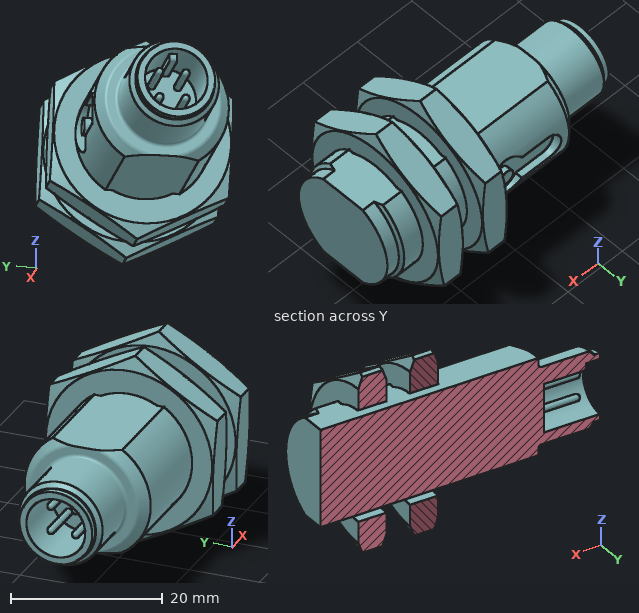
import cadquery as cq
import math

LENGTH = 43.9

PLUG_LIP_RADIUS = 10.4 / 2
PLUG_LIP_LENGTH = 1.0
PLUG_RADIUS = 12.0 / 2
PLUG_CHAMFER_RADIUS = 5.3
PLUG_CHAMFER_END = 1.65
PLUG_FILLET_RADIUS = 0.5

BARREL_START = 9.65
BARREL_RADIUS = 9.0
BARREL_FACE_RADIUS = 7.73
BARREL_EDGE_FILLET = 0.5
BARREL_CHAMFER_END = 11.0
FLAT_HALF_HEIGHT = 7.5

NOSE_RADIUS = 8.4
NOSE_START = 41.8
NOSE_CHAMFER_START = 41.4

SOCKET_RADIUS = 8.4 / 2
SOCKET_DEPTH = 8.8
KEY_WIDTH = 1.0
KEY_INNER_HEIGHT = 3.15
KEY_START = 2.2
KEY_FILLET_RADIUS = 0.5

PIN_RADIUS = 1.0 / 2
PIN_OFFSET = 1.75
PIN_TIP = 2.15

SLOT_WIDTH = 4.25
SLOT_START = 12.45
POCKET_RADIUS = 3.4
POCKET_CENTER = 22.1
RECESS_FLOOR = FLAT_HALF_HEIGHT
BUTTON_RADIUS = 2.35 / 2
BUTTON_TOP = 8.55

NUT_ACROSS_FLATS = 24.0
NUT_THICKNESS = 4.48
NUT_FACE_RADIUS = 11.85
NUT_CHAMFER_DEPTH = 0.75
NUT_BORE_RADIUS = 8.5
NUT_TURN = 2.5
NUT_STARTS = (25.37, 33.5)


def turned(points):
    """Solid of revolution about X from (x, radius) points closed along the axis."""
    return cq.Workplane("XY").polyline(points).close().revolve(360, (0, 0, 0), (1, 0, 0))


def x_cylinder(radius, start, end):
    """Cylinder on the X axis."""
    return cq.Workplane("YZ", origin=(start, 0, 0)).circle(radius).extrude(end - start)


def between_flats():
    """Slab that trims the barrel to its two flats."""
    return cq.Workplane("XY").box(3 * LENGTH, 3 * LENGTH, 2 * FLAT_HALF_HEIGHT)


def is_face_rim(edge):
    """True for the circle where the barrel's front face meets its chamfer."""
    return math.isclose(edge.radius(), BARREL_FACE_RADIUS, abs_tol=0.005)


def make_outer_shape():
    """Turned outline of plug, barrel and nose, trimmed by the two flats."""
    fillet_start = BARREL_START - PLUG_FILLET_RADIUS
    fillet_top = PLUG_RADIUS + PLUG_FILLET_RADIUS
    arc_offset = PLUG_FILLET_RADIUS * math.sqrt(0.5)
    profile = (
        cq.Workplane("XY")
        .lineTo(0, PLUG_LIP_RADIUS)
        .lineTo(PLUG_LIP_LENGTH, PLUG_LIP_RADIUS)
        .lineTo(PLUG_LIP_LENGTH, PLUG_CHAMFER_RADIUS)
        .lineTo(PLUG_CHAMFER_END, PLUG_RADIUS)
        .lineTo(fillet_start, PLUG_RADIUS)
        .threePointArc((fillet_start + arc_offset, fillet_top - arc_offset), (BARREL_START, fillet_top))
        .lineTo(BARREL_START, BARREL_FACE_RADIUS)
        .lineTo(BARREL_CHAMFER_END, BARREL_RADIUS)
        .lineTo(NOSE_CHAMFER_START, BARREL_RADIUS)
        .lineTo(NOSE_START, NOSE_RADIUS)
        .lineTo(LENGTH, NOSE_RADIUS)
        .lineTo(LENGTH, 0)
        .close()
    )
    body = profile.revolve(360, (0, 0, 0), (1, 0, 0))
    rounded = body.edges("%CIRCLE").filter(is_face_rim).fillet(BARREL_EDGE_FILLET)
    return rounded.intersect(between_flats())


def make_key():
    """Polarising key at the top of the socket, its lower front edge rounded."""
    length = SOCKET_DEPTH - KEY_START
    wall_overlap = 0.5 * (PLUG_LIP_RADIUS - SOCKET_RADIUS)
    height = SOCKET_RADIUS + wall_overlap - KEY_INNER_HEIGHT
    return (
        cq.Workplane("XY", origin=(KEY_START + length / 2, 0, KEY_INNER_HEIGHT + height / 2))
        .box(length, KEY_WIDTH, height)
        .edges("<X and <Z")
        .fillet(KEY_FILLET_RADIUS)
    )


def make_side_recess():
    """Cutter for the slot and round pocket, leaving the button standing on the floor."""
    floor = cq.Workplane("XZ", origin=(0, RECESS_FLOOR, 0))
    height = BARREL_RADIUS - RECESS_FLOOR
    slot_end_center = SLOT_START + SLOT_WIDTH / 2
    slot_length = POCKET_CENTER - slot_end_center
    slot_end = floor.center(slot_end_center, 0).circle(SLOT_WIDTH / 2).extrude(-height)
    slot = floor.center(slot_end_center + slot_length / 2, 0).rect(slot_length, SLOT_WIDTH).extrude(-height)
    pocket = floor.center(POCKET_CENTER, 0).circle(POCKET_RADIUS).extrude(-height)
    button = floor.center(POCKET_CENTER, 0).circle(BUTTON_RADIUS).extrude(RECESS_FLOOR - BUTTON_TOP)
    return slot.union(slot_end).union(pocket).cut(button)


def make_housing():
    """Flatted turned body with socket, key and side recess."""
    socket = x_cylinder(SOCKET_RADIUS, 0, SOCKET_DEPTH)
    return make_outer_shape().cut(socket).union(make_key()).cut(make_side_recess())


def make_pin(y, z):
    """Contact pin with a hemispherical tip."""
    dome_center = PIN_TIP + PIN_RADIUS
    shank = x_cylinder(PIN_RADIUS, dome_center, SOCKET_DEPTH)
    dome = cq.Workplane("XY", origin=(dome_center, 0, 0)).sphere(PIN_RADIUS)
    return shank.union(dome).translate((0, y, z))


def make_nut(start):
    """Hexagonal nut with both faces chamfered, bored to fit around the flatted barrel."""
    end = start + NUT_THICKNESS
    corner_radius = NUT_ACROSS_FLATS / math.sqrt(3)
    hexagon = (
        cq.Workplane("YZ", origin=(start, 0, 0))
        .transformed(rotate=(0, 0, 90 + NUT_TURN))
        .polygon(6, 2 * corner_radius)
        .extrude(NUT_THICKNESS)
    )
    chamfered = turned([
        (start, 0),
        (start, NUT_FACE_RADIUS),
        (start + NUT_CHAMFER_DEPTH, corner_radius),
        (end - NUT_CHAMFER_DEPTH, corner_radius),
        (end, NUT_FACE_RADIUS),
        (end, 0),
    ])
    barrel = x_cylinder(BARREL_RADIUS, start, end).intersect(between_flats())
    return hexagon.intersect(chamfered).cut(x_cylinder(NUT_BORE_RADIUS, start, end)).cut(barrel)


housing = make_housing()
pins = [make_pin(y, z) for y in (-PIN_OFFSET, PIN_OFFSET) for z in (-PIN_OFFSET, PIN_OFFSET)]
nuts = [make_nut(start) for start in NUT_STARTS]

result = cq.Compound.makeCompound([body.solids().val() for body in [housing, *pins, *nuts]])